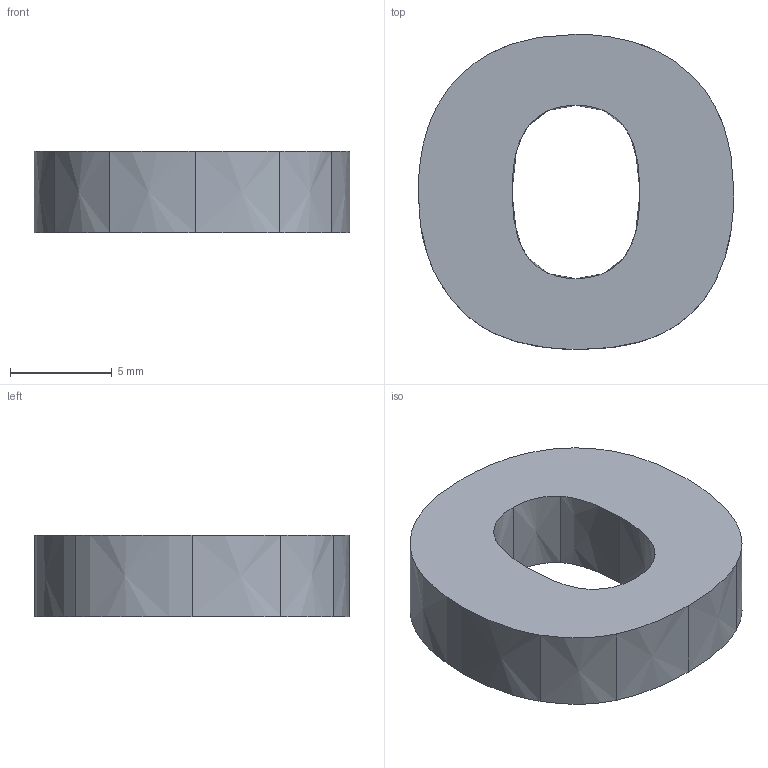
import cadquery as cq

thickness = 4.0
half_width = 15.54 / 2
half_depth = 15.51 / 2
opening_half_width = 3.15
opening_half_depth = 4.27

bottom_x = 0.16

upper_side_reach = 3.72
upper_end_reach = 3.65
lower_side_reach = 2.58
lower_left_end_x = -2.35
lower_right_end_x = 2.65
lower_left_corner = (-5.75, -6.15)
lower_right_corner = (6.0, -6.1)

opening_side_reach = 2.27
opening_end_reach = 1.5


def midpoint(a, b):
    return ((a[0] + b[0]) / 2, (a[1] + b[1]) / 2)


def add_corner(sketch, start, controls, end):
    """Chain of tangent parabolic arcs from start to end, joined midway between controls."""
    joints = [midpoint(a, b) for a, b in zip(controls, controls[1:])]
    starts = [start] + joints
    ends = joints + [end]
    for first, control, last in zip(starts, controls, ends):
        sketch = sketch.bezier([first, control, last], includeCurrent=False)
    return sketch


def closed_outline(extremes, corner_controls):
    """Closed outline through the extreme points, rounded by one control list per corner."""
    sketch = cq.Workplane("XY").moveTo(*extremes[0])
    next_extremes = extremes[1:] + extremes[:1]
    for start, controls, end in zip(extremes, corner_controls, next_extremes):
        sketch = add_corner(sketch, start, controls, end)
    return sketch.wire()


def outer_body():
    left = (-half_width, 0)
    bottom = (bottom_x, -half_depth)
    right = (half_width, 0)
    top = (0, half_depth)
    corners = [
        [(-half_width, -lower_side_reach), lower_left_corner, (lower_left_end_x, -half_depth)],
        [(lower_right_end_x, -half_depth), lower_right_corner, (half_width, -lower_side_reach)],
        [(half_width, upper_side_reach), (upper_end_reach, half_depth)],
        [(-upper_end_reach, half_depth), (-half_width, upper_side_reach)],
    ]
    return closed_outline([left, bottom, right, top], corners).extrude(thickness)


def opening():
    w, d = opening_half_width, opening_half_depth
    side, end = opening_side_reach, opening_end_reach
    extremes = [(-w, 0), (0, -d), (w, 0), (0, d)]
    corners = [
        [(-w, -side), (-end, -d)],
        [(end, -d), (w, -side)],
        [(w, side), (end, d)],
        [(-end, d), (-w, side)],
    ]
    return closed_outline(extremes, corners).extrude(thickness)


result = outer_body().cut(opening())